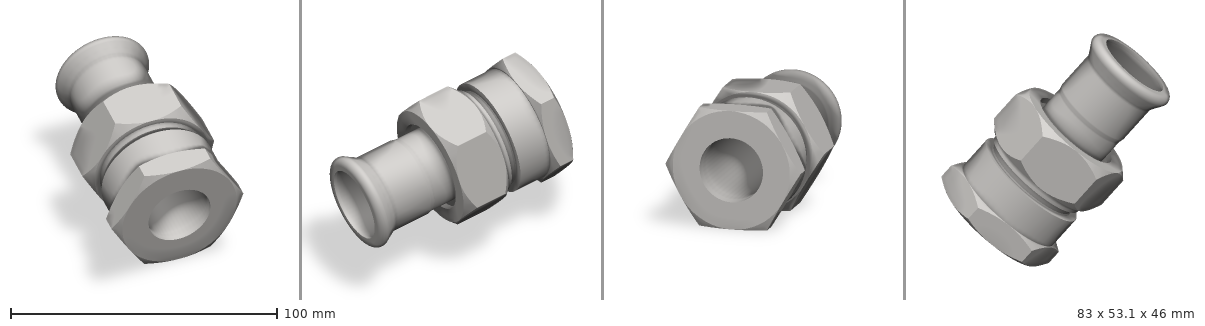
import cadquery as cq
import math

TUBE_START = 0.0
SOCKET_END = 24.15
NECK_START = 26.1
NUT_START = 34.0
NUT_HEX_END = 54.1
NUT_END = 56.9
GROOVE_START = 57.4
GROOVE_END = 59.4
BARREL_START = 59.9
END_HEX_START = 72.95
LENGTH = 83.0

BEAD_DIA = 37.35
SOCKET_DIA = 31.0
NECK_DIA = 30.0
GROOVE_DIA = 37.9
THREAD_DIA = 38.85
BARREL_DIA = 45.0
COLLAR_DIA = 41.9

MOUTH_DIA = 28.05
BORE_DIA = 24.9
LIP_LENGTH = 1.5
RELIEF_END = 7.0
RELIEF_DIA = 28.4
SOCKET_BORE_START = 9.3
SOCKET_BORE_DIA = 28.7
NUT_HOLE_DIA = 35.0

ACROSS_FLATS = 46.0
NUT_CHAMFER_LENGTH = 3.7
END_CHAMFER_LENGTH = 2.15
NUT_LIP = 2.5

BEAD_RADIUS = 2.5
FLARE_ANGLE = math.radians(30)
FLARE_BEND = 0.54
NECK_BEND = 0.25


def revolve_about_x(profile):
    """Revolve a closed (x, radius) profile about the pipe axis."""
    return profile.close().revolve(360, (0, 0, 0), (1, 0, 0))


def cylinder(start, end, diameter):
    return cq.Workplane("YZ", origin=(start, 0, 0)).circle(diameter / 2).extrude(end - start)


def chamfered_hexagon(start, end, chamfer_length):
    """Hexagon with corners on +Y and -Y, turned to a cone at both ends."""
    across_corners = ACROSS_FLATS / math.cos(math.pi / 6)
    prism = cq.Workplane("YZ", origin=(start, 0, 0)).polygon(6, across_corners).extrude(end - start)
    envelope = revolve_about_x(
        cq.Workplane("XY")
        .moveTo(start, 0)
        .lineTo(start, ACROSS_FLATS / 2)
        .lineTo(start + chamfer_length, across_corners / 2)
        .lineTo(end - chamfer_length, across_corners / 2)
        .lineTo(end, ACROSS_FLATS / 2)
        .lineTo(end, 0)
    )
    return prism.intersect(envelope)


def bend(profile, corner, angle_in, angle_out, tangent_length):
    """Continue a profile to a corner rounded by an arc; angles are the descents before and after it."""
    x, radius = corner
    start = (x - tangent_length * math.cos(angle_in), radius + tangent_length * math.sin(angle_in))
    end = (x + tangent_length * math.cos(angle_out), radius - tangent_length * math.sin(angle_out))
    return profile.lineTo(*start).tangentArcPoint(end, relative=False)


def press_socket_profile():
    """Outline from the axis over the bead, the flare and the socket, up to the start of the neck."""
    bead_centre_radius = BEAD_DIA / 2 - BEAD_RADIUS
    bead_end_x = BEAD_RADIUS * (1 + math.sin(FLARE_ANGLE))
    bead_end_radius = bead_centre_radius + BEAD_RADIUS * math.cos(FLARE_ANGLE)
    flare_end_x = bead_end_x + (bead_end_radius - SOCKET_DIA / 2) / math.tan(FLARE_ANGLE)
    neck_angle = math.atan2((SOCKET_DIA - NECK_DIA) / 2, NECK_START - SOCKET_END)

    profile = (
        cq.Workplane("XY")
        .moveTo(TUBE_START, 0)
        .lineTo(TUBE_START, bead_centre_radius)
        .threePointArc((BEAD_RADIUS, BEAD_DIA / 2), (bead_end_x, bead_end_radius))
    )
    profile = bend(profile, (flare_end_x, SOCKET_DIA / 2), FLARE_ANGLE, 0, FLARE_BEND)
    profile = bend(profile, (SOCKET_END, SOCKET_DIA / 2), 0, neck_angle, NECK_BEND)
    return bend(profile, (NECK_START, NECK_DIA / 2), neck_angle, 0, NECK_BEND)


def make_fitting():
    """Press socket, threaded union joint, barrel and end hexagon on one through bore."""
    joint_start = NUT_START + NUT_LIP
    outside = revolve_about_x(
        press_socket_profile()
        .lineTo(joint_start, NECK_DIA / 2)
        .lineTo(joint_start, THREAD_DIA / 2)
        .lineTo(NUT_END, THREAD_DIA / 2)
        .lineTo(GROOVE_START, GROOVE_DIA / 2)
        .lineTo(GROOVE_END, GROOVE_DIA / 2)
        .lineTo(BARREL_START, THREAD_DIA / 2)
        .lineTo(BARREL_START, BARREL_DIA / 2)
        .lineTo(END_HEX_START, BARREL_DIA / 2)
        .lineTo(END_HEX_START, 0)
    )
    inside = revolve_about_x(
        cq.Workplane("XY")
        .moveTo(TUBE_START, 0)
        .lineTo(TUBE_START, MOUTH_DIA / 2)
        .lineTo(LIP_LENGTH, RELIEF_DIA / 2)
        .lineTo(RELIEF_END, RELIEF_DIA / 2)
        .lineTo(SOCKET_BORE_START, SOCKET_BORE_DIA / 2)
        .lineTo(SOCKET_END, SOCKET_BORE_DIA / 2)
        .lineTo(SOCKET_END, BORE_DIA / 2)
        .lineTo(LENGTH, BORE_DIA / 2)
        .lineTo(LENGTH, 0)
    )
    end_hexagon = chamfered_hexagon(END_HEX_START, LENGTH, END_CHAMFER_LENGTH)
    return outside.union(end_hexagon).cut(inside)


def make_nut():
    """Union nut: hexagon, round collar, clearance hole and threaded chamber."""
    hexagon = chamfered_hexagon(NUT_START, NUT_HEX_END, NUT_CHAMFER_LENGTH)
    collar = cylinder(NUT_HEX_END, NUT_END, COLLAR_DIA)
    hole = cylinder(NUT_START, NUT_END, NUT_HOLE_DIA)
    chamber = cylinder(NUT_START + NUT_LIP, NUT_END, THREAD_DIA)
    return hexagon.union(collar).cut(hole).cut(chamber)


fitting = make_fitting()
nut = make_nut()

result = cq.Compound.makeCompound([fitting.val(), nut.val()])